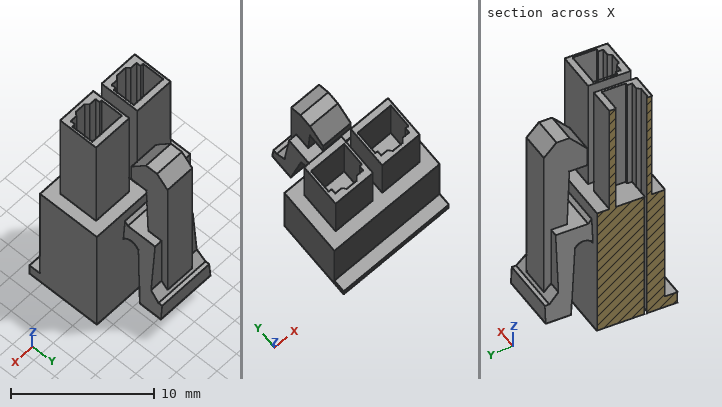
import cadquery as cq


body_width = 9.6
body_depth = 5.4
body_height = 10.68
flange_depth = 6.4
flange_height = 1.0

total_height = 19.6
tower_size = 3.41
tower_gap = 0.85
tower_setback = 0.98
tower_pitch = tower_size + tower_gap
tower_height = total_height - body_height

cavity_width = 3.02
cavity_back = 1.5
cavity_shoulder = 3.41
cavity_front = 3.8
cavity_front_width = 2.55
groove_pitch = 4.2
groove_front = 4.08
groove_wide = 1.37
groove_narrow = 0.9

lever_top = 9.31
lever_bottom = 2.15
lever_back = 2.88
lever_top_width = 3.88
lever_bottom_width = 5.1
neck_chamfer = 0.3
pad_back = 4.0
pad_top = 3.68
pad_slope_back = 3.65
lever_inner_bottom = 1.98
neck_arch_start = (1.43, 7.6)
neck_arch_peak = (0.76, 8.0)
neck_arch_end = 7.57

arm_width = 2.55
arm_back = 3.45
arm_top = 17.05
arm_tip_back = 2.45
arm_tip_front = 1.41
arm_inner_bottom = 1.6
hook_inner = 1.43
hook_top = 15.55
hook_bottom = 14.03


def side_plate(width):
    """Workplane for a Y-Z outline that is extruded by width, centred on X = 0."""
    return cq.Workplane("YZ", origin=(-width / 2, 0, 0))


def make_body():
    """Rectangular body with a flange along the front of its base."""
    return (
        side_plate(body_width)
        .moveTo(0, 0)
        .lineTo(0, body_height)
        .lineTo(-body_depth, body_height)
        .lineTo(-body_depth, flange_height)
        .lineTo(-flange_depth, flange_height)
        .lineTo(-flange_depth, 0)
        .close()
        .extrude(body_width)
    )


def make_tower(x_center):
    """Square tower standing on the body; its cavity is cut separately."""
    y_center = -tower_setback - tower_size / 2
    return (
        cq.Workplane("XY", origin=(x_center, y_center, body_height))
        .rect(tower_size, tower_size)
        .extrude(tower_height)
    )


def make_cavity(x_center, groove_x):
    """Stepped blind pocket as deep as the tower, plus a keying groove that runs through the part."""
    floor = cq.Workplane("XY", origin=(0, 0, body_height))
    wide = (
        floor.center(x_center, -(cavity_back + cavity_shoulder) / 2)
        .rect(cavity_width, cavity_shoulder - cavity_back)
        .extrude(tower_height)
    )
    narrow = (
        floor.center(groove_x, -(cavity_back + cavity_front) / 2)
        .rect(cavity_front_width, cavity_front - cavity_back)
        .extrude(tower_height)
    )
    groove = (
        cq.Workplane("XY", origin=(groove_x, 0, 0))
        .moveTo(-groove_wide / 2, -cavity_front)
        .lineTo(groove_wide / 2, -cavity_front)
        .lineTo(groove_narrow / 2, -groove_front)
        .lineTo(-groove_narrow / 2, -groove_front)
        .close()
        .extrude(total_height)
    )
    return wide.union(narrow).union(groove)


def make_lever():
    """Side outline of the lever, trimmed so that it widens evenly from the neck down to the pad."""
    pad_slope_top = pad_top + pad_slope_back - lever_back
    outline = (
        side_plate(body_width)
        .moveTo(0, lever_top + neck_chamfer)
        .lineTo(neck_chamfer, lever_top)
        .lineTo(lever_back, lever_top)
        .lineTo(lever_back, pad_slope_top)
        .lineTo(pad_slope_back, pad_top)
        .lineTo(pad_back, pad_top)
        .lineTo(pad_back, lever_bottom)
        .lineTo(lever_inner_bottom, lever_bottom)
        .lineTo(*neck_arch_start)
        .threePointArc(neck_arch_peak, (0, neck_arch_end))
        .close()
        .extrude(body_width)
    )
    side_slope = (lever_bottom_width - lever_top_width) / 2 / (lever_top - lever_bottom)
    half_bottom = lever_bottom_width / 2
    half_top = lever_top_width / 2 - side_slope * neck_chamfer
    taper = (
        cq.Workplane("XZ")
        .moveTo(-half_bottom, lever_bottom)
        .lineTo(half_bottom, lever_bottom)
        .lineTo(half_top, lever_top + neck_chamfer)
        .lineTo(-half_top, lever_top + neck_chamfer)
        .close()
        .extrude(-pad_back)
    )
    return outline.intersect(taper)


def make_arm():
    """Latch arm standing on the lever pad, with a bevelled tip and a hook facing the towers."""
    tip_bevel = arm_back - arm_tip_back
    return (
        side_plate(arm_width)
        .moveTo(arm_back, pad_top)
        .lineTo(arm_back, arm_top - tip_bevel)
        .lineTo(arm_tip_back, arm_top)
        .lineTo(arm_tip_front, arm_top)
        .lineTo(0, hook_top)
        .lineTo(0, hook_bottom)
        .lineTo(hook_inner, hook_bottom)
        .lineTo(arm_inner_bottom, lever_top)
        .lineTo(lever_back, pad_top)
        .close()
        .extrude(arm_width)
    )


result = make_body().union(make_lever()).union(make_arm())
for side in (-1, 1):
    tower_x = side * tower_pitch / 2
    groove_x = side * groove_pitch / 2
    result = result.union(make_tower(tower_x)).cut(make_cavity(tower_x, groove_x))